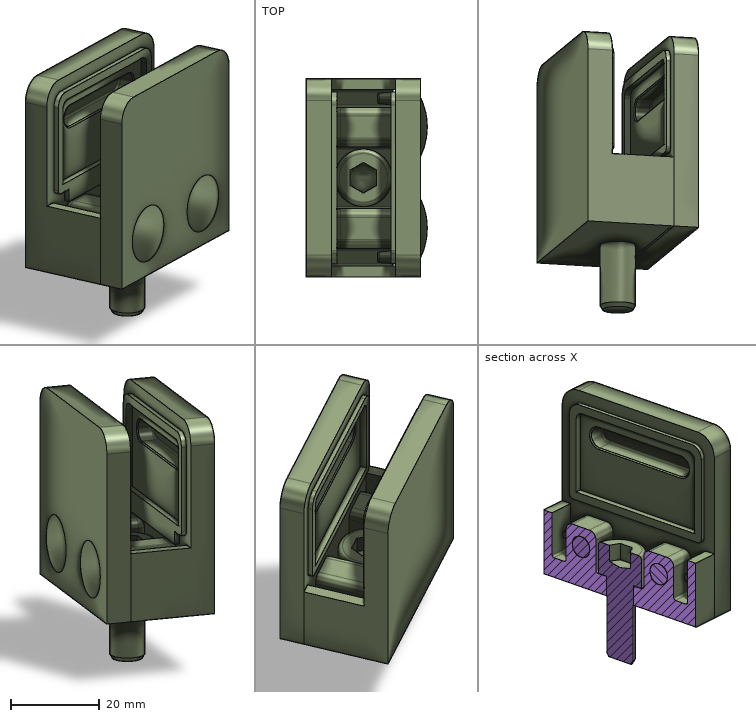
import cadquery as cq
import math


clamp_width = 26.0
clamp_length = 45.0
clamp_height = 45.0
jaw_thickness = 5.75
jaw_corner_radius = 5.0
gap_floor_z = 16.0
leg_face_x = jaw_thickness
plate_face_x = clamp_width - jaw_thickness

end_wall_thickness = 2.5
pocket_floor_z = 5.0
pocket_length = clamp_length - 2 * end_wall_thickness
pocket_foot_radius = 0.5
plate_clearance = 0.55
floor_end_x = plate_face_x - plate_clearance

screw_spacing = 23.0
screw_ys = (-screw_spacing / 2, screw_spacing / 2)
screw_z = 10.0
boss_length = 9.0
boss_top_z = 15.0
boss_edge_radius = 2.0

dome_diameter = 13.2
dome_height = 1.5
screw_shank_diameter = 5.0
screw_shank_length = 15.0

bolt_x = (leg_face_x + plate_face_x) / 2
bolt_drop = 15.0
bolt_diameter = 8.0
bolt_head_diameter = 13.0
bolt_head_height = 8.0
bolt_head_radius = 1.0
bolt_tip_height = 0.95
bolt_tip_inset = 0.55
hex_across_flats = 6.0
hex_depth = 4.0
hex_cone_depth = 0.7

peg_spacing = 36.0
peg_base_diameter = 3.0
peg_neck_diameter = 2.4
peg_tip_diameter = 2.0
peg_length = 4.0
peg_tip_length = 0.3

pad_length = 39.0
pad_bottom_z = 18.0
pad_top_z = 42.0
pad_top_radius = 3.0
pad_bottom_radius = 1.0
pad_rim_width = 2.0
leg_pad_protrusion = 1.2
plate_pad_protrusion = 1.0
pad_recess_depth = 1.5
pad_recess_corner_radius = 1.8
pad_seat_depth = 1.5
leg_pad_tab_length = 30.0

slot_spacing = 24.0
slot_diameter = 5.0
slot_z = 34.5
slot_depth = 4.0
slot_mouth_chamfer = 0.3
slot_floor_radius = 0.5
cup_wall = 0.5


def box(x_start, x_end, length, z_start, z_end, y_center=0.0):
    """Box between two X and two Z positions, centred on y_center."""
    size = (x_end - x_start, length, z_end - z_start)
    return cq.Workplane("XY").box(*size, centered=(False, True, False)).translate((x_start, y_center, z_start))


def rod(diameter, x_start, x_end, y, z):
    """Cylinder along X."""
    return cq.Workplane("YZ", origin=(x_start, y, z)).circle(diameter / 2).extrude(x_end - x_start)


def jaw(x_start):
    """Upright jaw with rounded top corners."""
    block = box(x_start, x_start + jaw_thickness, clamp_length, 0, clamp_height)
    return block.edges("|X and >Z").fillet(jaw_corner_radius)


def pad_envelope(face_x, protrusion):
    """Filled outer shape of a pad seated in a jaw on its +X side."""
    plate = box(face_x - protrusion, face_x + pad_seat_depth, pad_length, pad_bottom_z, pad_top_z)
    plate = plate.edges("|X and >Z").fillet(pad_top_radius)
    plate = plate.edges("|X and <Z").fillet(pad_bottom_radius)
    cup_end_x = face_x - protrusion + pad_recess_depth + slot_depth + cup_wall
    cup_diameter = slot_diameter + 2 * cup_wall
    cup = (
        cq.Workplane("YZ", origin=(face_x, 0, slot_z))
        .slot2D(slot_spacing + cup_diameter, cup_diameter)
        .extrude(cup_end_x - face_x)
    )
    return plate.union(cup)


def pad(face_x, protrusion):
    """Pad with a raised rim and a blind slot, seated in a jaw on its +X side."""
    front_x = face_x - protrusion
    floor_x = front_x + pad_recess_depth
    recess = (
        box(front_x, floor_x, pad_length - 2 * pad_rim_width,
            pad_bottom_z + pad_rim_width, pad_top_z - pad_rim_width)
        .edges("|X and >Z").fillet(pad_recess_corner_radius)
    )
    slot = (
        cq.Workplane("YZ", origin=(floor_x, 0, slot_z))
        .slot2D(slot_spacing + slot_diameter, slot_diameter)
        .extrude(slot_depth)
        .faces(">X").edges().fillet(slot_floor_radius)
    )
    mouth_diameter = slot_diameter + 2 * slot_mouth_chamfer
    mouth = (
        cq.Workplane("YZ", origin=(floor_x, 0, slot_z))
        .slot2D(slot_spacing + mouth_diameter, mouth_diameter)
        .extrude(slot_mouth_chamfer, taper=45)
    )
    return pad_envelope(face_x, protrusion).cut(recess).cut(slot).cut(mouth)


def mirror_to_leg(body):
    """Mirror a shape from the plate face to the leg face."""
    return body.mirror("YZ", (bolt_x, 0, 0))


def leg_pad_tab():
    """Tab below the leg pad, reaching down to the screw bosses."""
    return box(leg_face_x, leg_face_x + leg_pad_protrusion, leg_pad_tab_length,
               boss_top_z, pad_bottom_z + pad_rim_width / 2)


def screw_shank(y):
    """Screw shank through the plate and into its boss."""
    return rod(screw_shank_diameter, clamp_width - screw_shank_length, clamp_width, y, screw_z)


def screw_boss(y):
    """Boss with rounded top edges, and a rounded end against the leg."""
    boss = box(leg_face_x, floor_end_x, boss_length, pocket_floor_z, boss_top_z, y)
    boss = boss.edges("(|X and >Z) or (<X and >Z) or (<X and |Z)").fillet(boss_edge_radius)
    foot = box(leg_face_x, floor_end_x, boss_length + 2 * pocket_foot_radius,
               pocket_floor_z, pocket_floor_z + pocket_foot_radius, y)
    for side in (-1, 1):
        foot_y = y + side * (boss_length / 2 + pocket_foot_radius)
        foot = foot.cut(rod(2 * pocket_foot_radius, leg_face_x, floor_end_x,
                            foot_y, pocket_floor_z + pocket_foot_radius))
    return boss.union(foot)


def make_housing():
    base = box(0, plate_face_x, clamp_length, 0, gap_floor_z)
    pocket = (
        box(leg_face_x, plate_face_x, pocket_length, pocket_floor_z, gap_floor_z)
        .edges("|X and <Z").fillet(pocket_foot_radius)
    )
    clearance = box(floor_end_x, plate_face_x, pocket_length, 0, gap_floor_z)
    body = jaw(0).union(base).cut(pocket).cut(clearance)
    for y in screw_ys:
        body = body.union(screw_boss(y))
    for y in screw_ys:
        body = body.cut(screw_shank(y))
    bolt_hole = cq.Workplane("XY").center(bolt_x, 0).circle(bolt_diameter / 2).extrude(pocket_floor_z)
    return body.cut(bolt_hole).cut(mirror_to_leg(pad_envelope(plate_face_x, leg_pad_protrusion)))


def locating_peg(y):
    """Tapered peg with a chamfered tip, pointing from the plate into the pocket."""
    neck_x = peg_length - peg_tip_length
    profile = (
        cq.Workplane("XY")
        .polyline([
            (0, 0),
            (0, peg_base_diameter / 2),
            (-neck_x, peg_neck_diameter / 2),
            (-peg_length, peg_tip_diameter / 2),
            (-peg_length, 0),
        ])
        .close()
    )
    return profile.revolve(360, (0, 0, 0), (1, 0, 0)).translate((plate_face_x, y, screw_z))


def make_plate():
    body = jaw(plate_face_x)
    for y in (-peg_spacing / 2, peg_spacing / 2):
        body = body.union(locating_peg(y))
    for y in screw_ys:
        body = body.cut(screw_shank(y))
    return body.cut(pad_envelope(plate_face_x, plate_pad_protrusion))


def make_screw(y):
    """Screw with a spherical dome head resting on the outer plate face."""
    dome_radius = dome_diameter / 2
    sphere_radius = (dome_radius**2 + dome_height**2) / (2 * dome_height)
    half_angle = math.asin(dome_radius / sphere_radius) / 2
    sphere_center = dome_height - sphere_radius
    arc_middle = (sphere_center + sphere_radius * math.cos(half_angle), sphere_radius * math.sin(half_angle))
    dome = (
        cq.Workplane("XY")
        .moveTo(0, 0)
        .lineTo(0, dome_radius)
        .threePointArc(arc_middle, (dome_height, 0))
        .close()
        .revolve(360, (0, 0, 0), (1, 0, 0))
        .translate((clamp_width, y, screw_z))
    )
    return dome.union(screw_shank(y))


def make_bolt():
    """Socket-head bolt standing on the pocket floor and passing out through the underside."""
    shank = (
        cq.Workplane("XY", origin=(bolt_x, 0, -bolt_drop))
        .circle(bolt_diameter / 2)
        .extrude(bolt_drop + pocket_floor_z)
        .faces("<Z").edges().chamfer(bolt_tip_height, bolt_tip_inset)
    )
    head = (
        cq.Workplane("XY", origin=(bolt_x, 0, pocket_floor_z))
        .circle(bolt_head_diameter / 2)
        .extrude(bolt_head_height)
        .faces(">Z").edges().fillet(bolt_head_radius)
    )
    socket_floor_z = pocket_floor_z + bolt_head_height - hex_depth
    hex_across_corners = hex_across_flats / math.cos(math.radians(30))
    socket = (
        cq.Workplane("XY", origin=(bolt_x, 0, socket_floor_z))
        .transformed(rotate=(0, 0, 30))
        .polygon(6, hex_across_corners)
        .extrude(hex_depth)
    )
    cone = cq.Workplane(cq.Solid.makeCone(
        hex_across_flats / 2, 0, hex_cone_depth, cq.Vector(bolt_x, 0, socket_floor_z), cq.Vector(0, 0, -1)
    ))
    return shank.union(head).cut(socket).cut(cone)


housing = make_housing()
plate = make_plate()
bolt = make_bolt()
screws = [make_screw(y) for y in screw_ys]
plate_pad = pad(plate_face_x, plate_pad_protrusion)
leg_pad = mirror_to_leg(pad(plate_face_x, leg_pad_protrusion)).union(leg_pad_tab())

result = cq.Compound.makeCompound([
    housing.val(),
    plate.val(),
    bolt.val(),
    *[screw.val() for screw in screws],
    leg_pad.val(),
    plate_pad.val(),
])